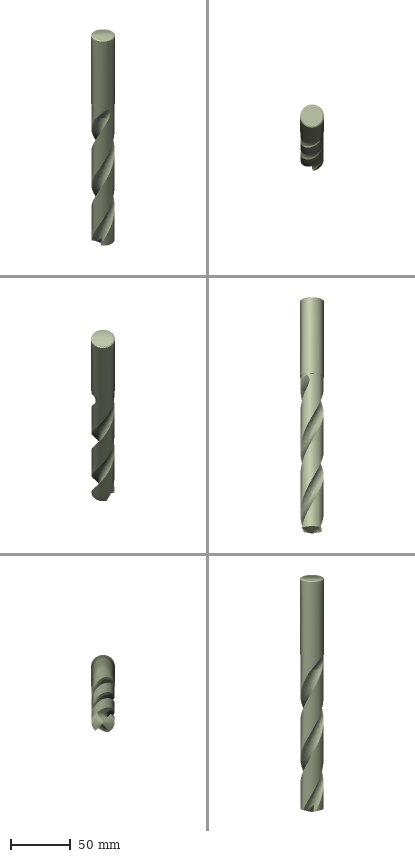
import cadquery as cq
import math

total_length = 205.0
shank_diameter = 20.0
shank_length = 67.0
shank_chamfer_width = 1.0
shank_chamfer_height = 0.6
drill_diameter = 19.5
point_angle = 140.0
cutting_length = 98.0

flute_count = 2
flute_pitch = 110.4
flute_radius = 5.8
flute_floor_radius = 3.8
flute_side_height = 26.0
flute_helix_end = 125.7
runout_height = 11.5
runout_sideways = 8.6
runout_outward = 3.7

gash_root = cq.Vector(0.5, -0.4, 0.2)
gash_top = cq.Vector(3.8, -2.8, 8.3)
gash_heel = cq.Vector(-1.5, -5.6, 3.3)
gash_lip = cq.Vector(5.1, -4.4, 2.5)
gash_overrun = 0.15

drill_radius = drill_diameter / 2
shank_radius = shank_diameter / 2
point_height = drill_radius / math.tan(math.radians(point_angle / 2))
shank_bottom = total_length - shank_length
flute_offset = flute_floor_radius + flute_radius
flute_bottom = -flute_radius

axis_start = cq.Vector(0, 0, 0)
axis_end = cq.Vector(0, 0, 1)


def flute_angle(height):
    """Direction in degrees from +X in which the first flute faces at a height."""
    return 360 * (height - flute_side_height) / flute_pitch


def turned(solid, angle):
    return solid.rotate(axis_start, axis_end, angle)


def make_flute():
    """Twisted flute up to the end of the helix."""
    height = flute_helix_end - flute_bottom
    flute = (
        cq.Workplane("XY")
        .moveTo(flute_offset, 0)
        .circle(flute_radius)
        .twistExtrude(height, flute_angle(flute_helix_end) - flute_angle(flute_bottom))
        .translate((0, 0, flute_bottom))
    )
    return turned(flute.val(), flute_angle(flute_bottom))


def make_runout():
    """Straight continuation of a flute, leaning outward until it leaves the drill."""
    circle = cq.Wire.makeCircle(flute_radius, cq.Vector(flute_offset, 0, flute_helix_end), axis_end)
    run = cq.Vector(runout_outward, runout_sideways, runout_height)
    return turned(cq.Solid.extrudeLinear(circle, [], run), flute_angle(flute_helix_end))


def make_gash():
    """V groove rising from beside the tip into the flute floor."""
    groove = gash_top - gash_root
    reach = 1 + gash_overrun
    start = gash_root - groove * gash_overrun
    heel = start + (gash_heel - gash_root) * reach
    lip = start + (gash_lip - gash_root) * reach
    section = cq.Wire.makePolygon([start, heel, lip], close=True)
    return cq.Solid.extrudeLinear(section, [], groove * (reach + gash_overrun))


def revolve_profile(points):
    return cq.Workplane("XZ").polyline(points).close().revolve(360, (0, 0), (0, 1))


def cut_all_round(body, cutters):
    """Cut every cutter once for each flute."""
    for index in range(flute_count):
        for cutter in cutters:
            body = body.cut(cq.Workplane(turned(cutter, index * 360 / flute_count)))
    return body


cutting_head = revolve_profile([
    (0, 0),
    (drill_radius, point_height),
    (drill_radius, cutting_length),
    (0, cutting_length),
])
cutting_head = cut_all_round(cutting_head, [make_flute(), make_gash()])

holder = revolve_profile([
    (0, cutting_length),
    (drill_radius, cutting_length),
    (drill_radius, shank_bottom),
    (shank_radius, shank_bottom),
    (shank_radius, total_length - shank_chamfer_height),
    (shank_radius - shank_chamfer_width, total_length),
    (0, total_length),
])
holder = cut_all_round(holder, [make_flute(), make_runout()])

result = cq.Compound.makeCompound([cutting_head.val(), holder.val()])